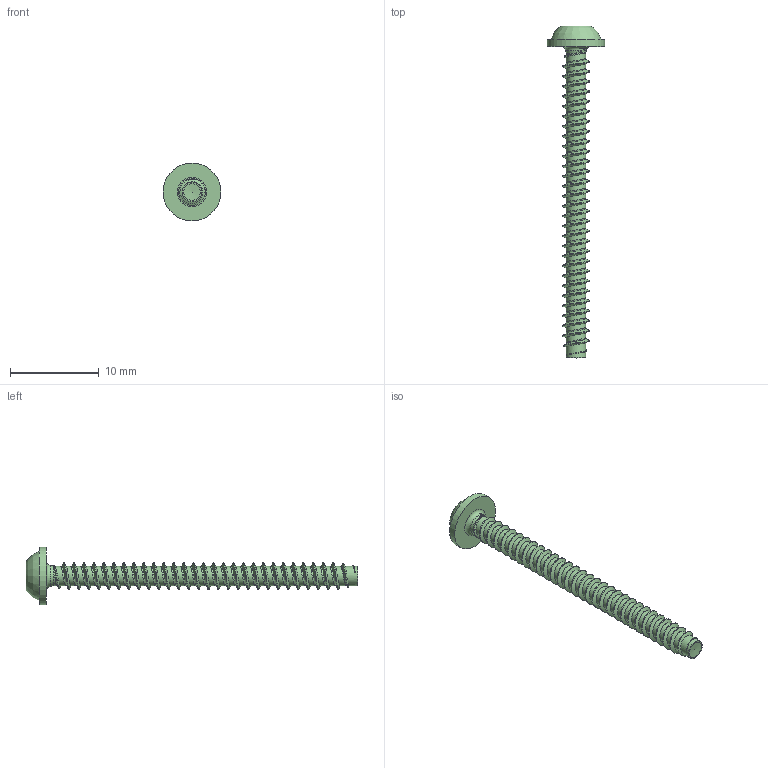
import cadquery as cq
import math

flange_diameter = 6.5
flange_thickness = 0.8
head_height = 2.3
dome_base_diameter = 5.6
dome_top_diameter = 3.2
dome_bulge = 0.2

shank_length = 35.0
core_diameter = 2.2
neck_diameter = 2.36
neck_fillet = 0.46
neck_taper_end = 0.75
tip_dimple_diameter = 1.9
tip_dimple_depth = 0.08

thread_diameter = 3.0
pitch = 1.12
full_turns = 28
tip_runout_turns = 1.45
head_runout_turns = 1
thread_start = 1.95
crest_width = 0.06
root_width = 0.5
root_overlap = 0.1

relief_depth = 0.06
relief_deepest = 0.2
relief_end = 0.39

flange_radius = flange_diameter / 2
dome_base_radius = dome_base_diameter / 2
dome_top_radius = dome_top_diameter / 2
core_radius = core_diameter / 2
neck_radius = neck_diameter / 2
dimple_radius = tip_dimple_diameter / 2
crest_radius = thread_diameter / 2
root_radius = core_radius - root_overlap


def make_body():
    """Head and shank turned about Y, with the seat of the head at Y = 0 and the tip at -Y."""
    dome_height = head_height - flange_thickness
    dome_inset = dome_base_radius - dome_top_radius
    chord = math.hypot(dome_height, dome_inset)
    dome_middle = (
        (dome_base_radius + dome_top_radius) / 2 + dome_bulge * dome_height / chord,
        flange_thickness + dome_height / 2 + dome_bulge * dome_inset / chord,
    )
    fillet_reach = neck_fillet * (1 - math.sqrt(0.5))
    fillet_middle = (neck_radius + fillet_reach, -fillet_reach)
    return (
        cq.Workplane("XY")
        .moveTo(0, tip_dimple_depth - shank_length)
        .lineTo(dimple_radius, -shank_length)
        .lineTo(core_radius, -shank_length)
        .lineTo(core_radius, -neck_taper_end)
        .lineTo(neck_radius, -neck_fillet)
        .threePointArc(fillet_middle, (neck_radius + neck_fillet, 0))
        .lineTo(flange_radius, 0)
        .lineTo(flange_radius, flange_thickness)
        .lineTo(dome_base_radius, flange_thickness)
        .threePointArc(dome_middle, (dome_top_radius, head_height))
        .lineTo(0, head_height)
        .close()
        .revolve(360, (0, 0, 0), (0, 1, 0))
        .val()
    )


def helix(first_turn, turns, offset, start_radius, end_radius):
    """Right-hand helix about Z on a cylinder or a cone, crossing +X at every whole turn."""
    height = turns * pitch
    slope = math.atan((end_radius - start_radius) / height)
    stretch = 1 / math.cos(slope)
    base = cq.Vector(0, 0, first_turn * pitch + offset)
    if slope == 0:
        wire = cq.Wire.makeHelix(pitch, height, start_radius, base)
    else:
        wire = cq.Wire.makeHelix(
            pitch * stretch, height * stretch, start_radius, base, angle=math.degrees(slope)
        )
    return wire.rotate(cq.Vector(0, 0, 0), cq.Vector(0, 0, 1), 360 * first_turn)


def wind_along_shank(profile, runout_shift):
    """Solid of a (radius, offset) profile wound along the shank, shifted radially at its run-outs."""
    sections = [(-tip_runout_turns, tip_runout_turns, runout_shift, 0)]
    sections += [(turn, 1, 0, 0) for turn in range(full_turns)]
    sections += [(full_turns, head_runout_turns, 0, runout_shift)]

    windings = [
        [
            helix(first_turn, turns, offset, radius + start_shift, radius + end_shift)
            for radius, offset in profile
        ]
        for first_turn, turns, start_shift, end_shift in sections
    ]
    faces = [
        cq.Face.makeRuledSurface(edges[i - 1], edges[i]) for edges in windings for i in range(len(edges))
    ]
    start_corners = [edge.startPoint() for edge in windings[0]]
    end_corners = [edge.endPoint() for edge in windings[-1]]
    for corners in (start_corners, end_corners):
        faces.append(cq.Face.makeFromWires(cq.Wire.makePolygon(corners, close=True)))
    bar = cq.Solid.makeSolid(cq.Shell.makeShell(faces))
    along_shank = bar.rotate(cq.Vector(0, 0, 0), cq.Vector(1, 0, 0), -90)
    return along_shank.translate(cq.Vector(0, thread_start - shank_length, 0))


def cut_relief(body):
    """Cut the relief groove, which rises out of the core at its run-outs."""
    relief_width = relief_end - relief_deepest
    profile = [
        (core_radius - relief_depth, relief_deepest),
        (core_radius + relief_depth, relief_deepest),
        (core_radius + relief_depth, relief_deepest + 2 * relief_width),
    ]
    return body.cut(wind_along_shank(profile, 2 * relief_depth))


def add_thread(body):
    """Add the thread, which sinks into the core at its run-outs."""
    profile = [
        (root_radius, -root_width / 2),
        (crest_radius, -crest_width / 2),
        (crest_radius, crest_width / 2),
        (root_radius, root_width / 2),
    ]
    return body.fuse(wind_along_shank(profile, core_radius - crest_radius))


screw = add_thread(cut_relief(make_body()))
result = cq.Workplane(screw.Solids()[0])